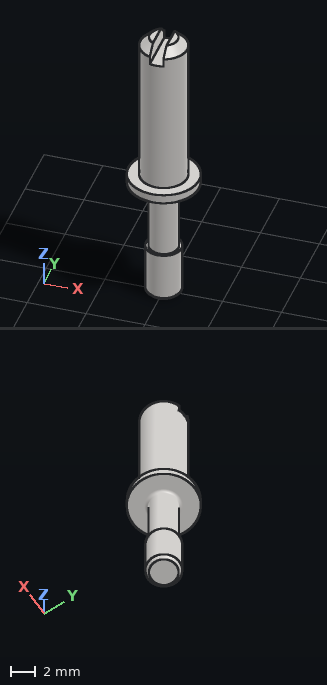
import cadquery as cq
import math

total_length = 25.2
tip_length = 4.5
flange_bottom = 10.8
flange_thickness = 0.8

flange_diameter = 6.0
post_diameter = 4.0
tip_diameter = 3.0
neck_diameter = 2.5

post_chamfer = 0.8
tip_chamfer = 0.3
neck_fillet = 0.3

slot_width = 1.15
slot_depth = 1.5

flange_top = flange_bottom + flange_thickness


def turned_body():
    """Revolve the half profile, drawn as (radius, height), about the Z axis."""
    flange_radius = flange_diameter / 2
    post_radius = post_diameter / 2
    tip_radius = tip_diameter / 2
    neck_radius = neck_diameter / 2

    fillet_centre_radius = neck_radius + neck_fillet
    fillet_centre_height = flange_bottom - neck_fillet
    fillet_offset = neck_fillet * math.sqrt(0.5)
    fillet_middle = (fillet_centre_radius - fillet_offset, fillet_centre_height + fillet_offset)

    profile = (
        cq.Workplane("XZ")
        .moveTo(0, 0)
        .lineTo(tip_radius - tip_chamfer, 0)
        .lineTo(tip_radius, tip_chamfer)
        .lineTo(tip_radius, tip_length)
        .lineTo(neck_radius, tip_length)
        .lineTo(neck_radius, fillet_centre_height)
        .threePointArc(fillet_middle, (fillet_centre_radius, flange_bottom))
        .lineTo(flange_radius, flange_bottom)
        .lineTo(flange_radius, flange_top)
        .lineTo(post_radius, flange_top)
        .lineTo(post_radius, total_length - post_chamfer)
        .lineTo(post_radius - post_chamfer, total_length)
        .lineTo(0, total_length)
        .close()
    )
    return profile.revolve(360, (0, 0), (0, 1))


def screwdriver_slot():
    """Cutter for the slot, long enough to pass right through the post."""
    return (
        cq.Workplane("XY")
        .workplane(offset=total_length - slot_depth)
        .rect(slot_width, flange_diameter)
        .extrude(slot_depth)
    )


result = turned_body().cut(screwdriver_slot())